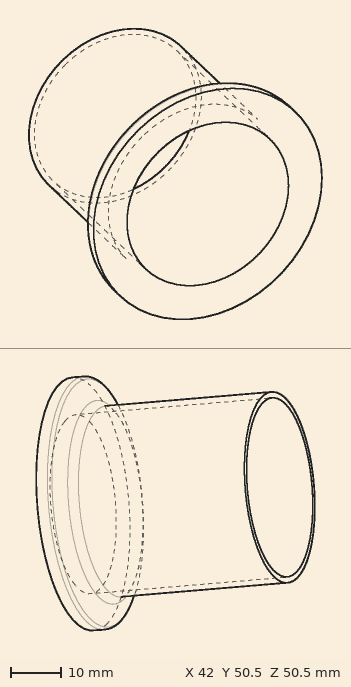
import cadquery as cq
import math

length = 42.0
tube_radius = 38.1 / 2
bore_radius = 35.7 / 2
flange_radius = 50.5 / 2
rim_width = 2.95
taper_angle = 20
neck_fillet = 1.9
rim_fillet = 0.8

rim_start = length - rim_width
taper_run = (flange_radius - tube_radius) * math.tan(math.radians(taper_angle))
neck_end = rim_start - taper_run

body = (
    cq.Workplane("XY")
    .moveTo(0, bore_radius)
    .lineTo(0, tube_radius)
    .lineTo(neck_end, tube_radius)
    .lineTo(rim_start, flange_radius)
    .lineTo(length, flange_radius)
    .lineTo(length, bore_radius)
    .close()
    .revolve(360, (0, 0, 0), (1, 0, 0))
)


def circle_edge_at(x, radius):
    """Select the circular edge around the axis at position x."""
    margin = 0.05
    reach = radius + margin
    return cq.selectors.BoxSelector(
        (x - margin, -reach, -reach), (x + margin, reach, reach), boundingbox=True
    )


body = body.edges(circle_edge_at(neck_end, tube_radius)).fillet(neck_fillet)
result = body.edges(circle_edge_at(rim_start, flange_radius)).fillet(rim_fillet)